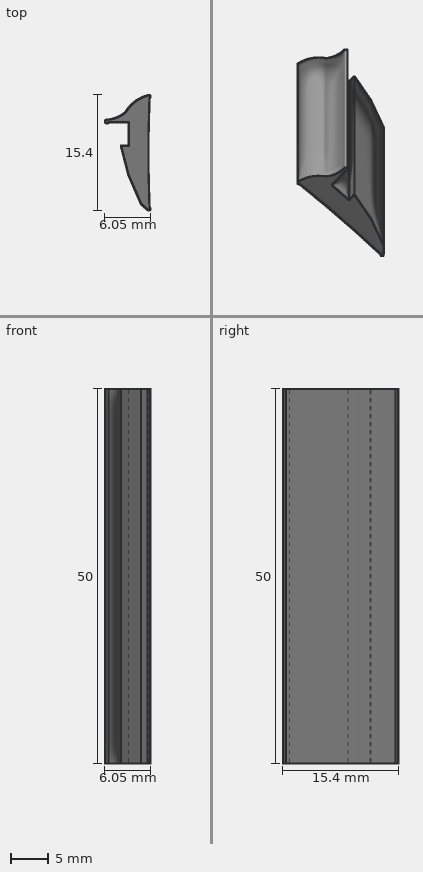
import cadquery as cq

length = 50.0
width = 6.05
height = 15.4
left = -width / 2
right = width / 2
bottom = -height / 2
top = height / 2

edge_radius = 0.2
edge_setback = 0.1
back_hollow = 0.15

bead_radius = 0.25
lip_underside = bottom + 11.75

notch_height = 3.1
notch_floor_x = left + 3.15
notch_bottom = lip_underside - notch_height
ridge_x = left + 2.1

facet_height = 3.9
middle_x = left + 3.1
bevel_x = left + 4.8
middle_y = notch_bottom - facet_height
bevel_y = middle_y - facet_height

inflection = (left + 2.75, top - 2.25)
concave_middle = (left + 1.55, top - 3.0)
convex_middle = (left + 3.95, top - 0.9)

edge_x = right - edge_radius
back_x = right - edge_setback
bead_center = (left + bead_radius, lip_underside + bead_radius / 2)


def make_body():
    """Extrude the main section between the rounded edges."""
    return (
        cq.Workplane("XY")
        .moveTo(bead_center[0], bead_center[1] + bead_radius)
        .threePointArc(concave_middle, inflection)
        .threePointArc(convex_middle, (edge_x, top))
        .lineTo(back_x, top - edge_radius)
        .threePointArc((back_x - back_hollow, 0), (back_x, bottom + edge_radius))
        .lineTo(edge_x, bottom)
        .lineTo(edge_x - edge_radius, bottom + edge_setback)
        .lineTo(bevel_x, bevel_y)
        .lineTo(middle_x, middle_y)
        .lineTo(ridge_x, notch_bottom)
        .lineTo(notch_floor_x, notch_bottom)
        .lineTo(notch_floor_x, lip_underside)
        .lineTo(bead_center[0], lip_underside)
        .close()
        .extrude(length)
    )


def make_bead(center, radius):
    """Round a long edge with a full-length cylinder."""
    return cq.Workplane("XY").center(*center).circle(radius).extrude(length)


result = make_body().union(make_bead(bead_center, bead_radius))
for edge_y in (bottom + edge_radius, top - edge_radius):
    result = result.union(make_bead((edge_x, edge_y), edge_radius))